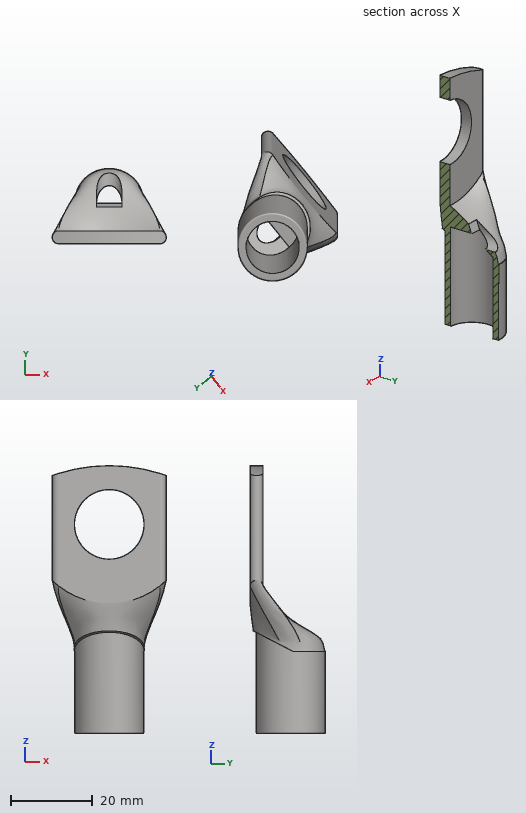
import cadquery as cq
import math

BARREL_RADIUS = 17.0 / 2
BORE_RADIUS = 13.0 / 2
MOUTH_FILLET = 0.4

TOTAL_HEIGHT = 65.72
TONGUE_WIDTH = 28.0
TONGUE_THICKNESS = 3.2
OVERALL_DEPTH = 18.5
TONGUE_FRONT_Y = BARREL_RADIUS - OVERALL_DEPTH
TONGUE_BACK_Y = TONGUE_FRONT_Y + TONGUE_THICKNESS
TOP_ARC_RADIUS = 41.5
ROOT_ARC_RADIUS = 20.0
ROOT_LOW_Z = 31.9
ROOT_ARC_CENTER_Z = ROOT_LOW_Z + ROOT_ARC_RADIUS
STUD_HOLE_RADIUS = 17.0 / 2
STUD_HOLE_Z = 51.3

FOOT_Z = 20.2
FOOT_FRONT_Z = 25.2
FOOT_BREAK_Y = 0.5
FOOT_FRONT_Y = -9.2
REAR_SEAM_Y = 2.35
FRONT_SEAM_Y = -2.8
FRONT_SEAM_X = 8.4
FOOT_HALF_WIDTH = 8.6

LOWER_SECTION_HEIGHTS = [(16.4, 21.4), (18.8, 23.8)]

NECK_SECTIONS = [
    ((7.2, 23.4), (8.35, 2.1, 22.9), (8.9, -0.4, 23.1), (8.7, -3.1, 23.3), (-9.3, 26.3)),
    ((3.45, 26.0), (9.5, 0.3, 26.5), (10.0, -2.0, 26.2), (9.6, -4.5, 25.9), (-9.55, 27.8)),
    ((-1.6, 29.0), (11.3, -3.1, 31.3), (12.05, -5.4, 31.1), (11.5, -7.3, 30.9), (-9.8, 29.6)),
]

SLOT_RADIUS = 6.2 / 2
SLOT_FLOOR_Z = 23.2
SLOT_END_Y = -0.98
SLOT_END_Z = 28.7

ROOF_Z = 26.2
ROOF_REAR_Z = 21.6

shapes = cq.occ_impl.shapes

SEWING_TOLERANCE = 1e-3


def make_tongue():
    """Palm with its arched top and the concave arc where the neck joins it."""
    slab = (
        cq.Workplane("XY")
        .center(0, (TONGUE_FRONT_Y + TONGUE_BACK_Y) / 2)
        .slot2D(TONGUE_WIDTH, TONGUE_THICKNESS)
        .extrude(TOTAL_HEIGHT)
    )
    top_disc = (
        cq.Workplane("XZ")
        .center(0, TOTAL_HEIGHT - TOP_ARC_RADIUS)
        .circle(TOP_ARC_RADIUS)
        .extrude(TONGUE_WIDTH, both=True)
    )
    root_disc = (
        cq.Workplane("XZ")
        .center(0, ROOT_ARC_CENTER_Z)
        .circle(ROOT_ARC_RADIUS)
        .extrude(TONGUE_WIDTH, both=True)
    )
    above_root = (
        cq.Workplane("XY")
        .workplane(offset=ROOT_ARC_CENTER_Z)
        .rect(2 * TONGUE_WIDTH, 2 * TONGUE_WIDTH)
        .extrude(TOTAL_HEIGHT)
    )
    return slab.intersect(top_disc).intersect(root_disc.union(above_root))


def stud_hole():
    return (
        cq.Workplane("XZ")
        .center(0, STUD_HOLE_Z)
        .circle(STUD_HOLE_RADIUS)
        .extrude(-2 * TONGUE_FRONT_Y, both=True)
    )


def below_foot():
    """Everything under the foot, level behind the break line, rising ahead of it."""
    slope = (FOOT_FRONT_Z - FOOT_Z) / (FOOT_BREAK_Y - FOOT_FRONT_Y)
    reach = 2 * BARREL_RADIUS
    front_z = FOOT_Z + slope * (reach + FOOT_BREAK_Y)
    return (
        cq.Workplane("YZ")
        .polyline([(-reach, 0), (reach, 0), (reach, FOOT_Z), (FOOT_BREAK_Y, FOOT_Z), (-reach, front_z)])
        .close()
        .extrude(reach, both=True)
    )


def neck_section(rear_crest, rear_corner, side, front_corner, front_crest):
    """Closed wire of four arcs, symmetric about X = 0."""

    def mirrored(point):
        x, y, z = point
        return (-x, y, z)

    corners_and_middles = [
        (mirrored(rear_corner), (0, *rear_crest), rear_corner),
        (rear_corner, side, front_corner),
        (front_corner, (0, *front_crest), mirrored(front_corner)),
        (mirrored(front_corner), mirrored(side), mirrored(rear_corner)),
    ]
    arcs = [
        cq.Edge.makeThreePointArc(*(cq.Vector(*point) for point in arc))
        for arc in corners_and_middles
    ]
    return cq.Wire.assembleEdges(arcs)


def lower_section(rear_z, front_z):
    """Foot outline on a plane that rises from the rear to the front."""

    def on_plane(y):
        share = (BARREL_RADIUS - y) / (BARREL_RADIUS - FOOT_FRONT_Y)
        return (y, rear_z + share * (front_z - rear_z))

    rear_seam_x = math.sqrt(BARREL_RADIUS**2 - REAR_SEAM_Y**2)
    return neck_section(
        on_plane(BARREL_RADIUS),
        (rear_seam_x, *on_plane(REAR_SEAM_Y)),
        (FOOT_HALF_WIDTH, *on_plane(0)),
        (FRONT_SEAM_X, *on_plane(FRONT_SEAM_Y)),
        on_plane(FOOT_FRONT_Y),
    )


def root_section(root_face):
    """The lower rim of the tongue, its edges in the same order as in the neck sections."""
    rear, right, front, left = (">Y", ">X", "<Y", "<X")
    rim = cq.Workplane(root_face)
    return cq.Wire.assembleEdges([rim.edges(side).val() for side in (rear, right, front, left)])


def make_neck(tongue):
    """Flare from the barrel to the lower rim of the tongue, closed by two end faces."""
    root_face = tongue.faces("<Z").val()
    sections = [lower_section(*heights) for heights in LOWER_SECTION_HEIGHTS]
    sections += [neck_section(*row) for row in NECK_SECTIONS]
    sole = cq.Face.makeFromWires(sections[0])
    skin = shapes.loft(*sections, root_section(root_face))
    closed_shell = shapes.shell(*skin.Faces(), sole, root_face, tol=SEWING_TOLERANCE)
    return cq.Workplane(shapes.solid(closed_shell)).cut(below_foot())


def make_barrel():
    rod = cq.Workplane("XY").circle(BARREL_RADIUS).extrude(2 * FOOT_Z)
    return rod.intersect(below_foot()).faces("<Z").edges().fillet(MOUTH_FILLET)


def bore():
    """Blind bore from the mouth up to the bent roof."""
    under_roof = (
        cq.Workplane("YZ")
        .moveTo(-BORE_RADIUS, 0)
        .lineTo(BORE_RADIUS, 0)
        .lineTo(BORE_RADIUS, ROOF_REAR_Z)
        .lineTo(0, ROOF_Z)
        .lineTo(-BORE_RADIUS, ROOF_Z)
        .close()
        .extrude(BORE_RADIUS, both=True)
    )
    return cq.Workplane("XY").circle(BORE_RADIUS).extrude(ROOF_Z).intersect(under_roof)


def inspection_slot():
    """Slot along Y with a round floor, ending in a slanted face above the bore axis."""
    slot_top_z = SLOT_END_Z + SLOT_RADIUS
    arch = (
        cq.Workplane("XZ")
        .moveTo(-SLOT_RADIUS, slot_top_z)
        .lineTo(-SLOT_RADIUS, SLOT_FLOOR_Z + SLOT_RADIUS)
        .threePointArc((0, SLOT_FLOOR_Z), (SLOT_RADIUS, SLOT_FLOOR_Z + SLOT_RADIUS))
        .lineTo(SLOT_RADIUS, slot_top_z)
        .close()
        .extrude(2 * BARREL_RADIUS, both=True)
    )
    behind_end_face = (
        cq.Workplane("YZ")
        .moveTo(0, 0)
        .lineTo(0, ROOF_Z)
        .lineTo(SLOT_END_Y, SLOT_END_Z)
        .lineTo(SLOT_END_Y, slot_top_z)
        .lineTo(2 * BARREL_RADIUS, slot_top_z)
        .lineTo(2 * BARREL_RADIUS, 0)
        .close()
        .extrude(SLOT_RADIUS, both=True)
    )
    return arch.intersect(behind_end_face)


tongue = make_tongue()
body = make_barrel().union(make_neck(tongue)).union(tongue)
result = body.cut(stud_hole()).cut(bore()).cut(inspection_slot())